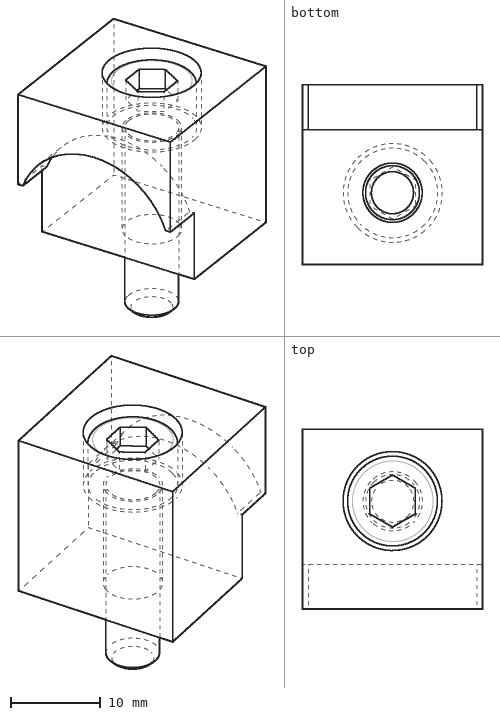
import cadquery as cq

side = 20.0
notch_depth = 5.0
notch_height = 8.5
arch_radius = 10.0
arch_center_height = 5.0

total_height = 30.0
screw_y = 2.0
shank_diameter = 6.0
head_diameter = 10.0
head_height = 6.0
head_fillet = 0.5
head_recess = 1.0
tip_chamfer = 0.65
hex_across_flats = 5.0
hex_depth = 2.5

hole_diameter = 6.6
counterbore_diameter = 11.0

head_top = side - head_recess
head_seat = head_top - head_height
tip_height = side - total_height


def cylinder(diameter, bottom, top):
    """Upright cylinder on the screw axis."""
    return (
        cq.Workplane("XY", origin=(0, screw_y, bottom))
        .circle(diameter / 2)
        .extrude(top - bottom)
    )


def make_block():
    block = cq.Workplane("XY").box(side, side, side, centered=(True, True, False))

    notch = (
        cq.Workplane("XY", origin=(0, (notch_depth - side) / 2, 0))
        .box(side, notch_depth, notch_height, centered=(True, True, False))
    )

    arch = (
        cq.Workplane("XZ", origin=(0, notch_depth - side / 2, arch_center_height))
        .circle(arch_radius)
        .extrude(notch_depth)
    )

    clearance_hole = cylinder(hole_diameter, 0, head_seat)
    counterbore = cylinder(counterbore_diameter, head_seat, side)
    return block.cut(notch).cut(arch).cut(clearance_hole).cut(counterbore)


def make_screw():
    head = cylinder(head_diameter, head_seat, head_top).faces(">Z").edges().fillet(head_fillet)
    shank = cylinder(shank_diameter, tip_height, head_seat).faces("<Z").edges().chamfer(tip_chamfer)

    socket = (
        cq.Workplane("XY", origin=(0, screw_y, head_top))
        .polygon(6, hex_across_flats, circumscribed=True)
        .extrude(-hex_depth)
    )
    return head.union(shank).cut(socket)


block = make_block()
screw = make_screw()

result = cq.Compound.makeCompound([block.val(), screw.val()])